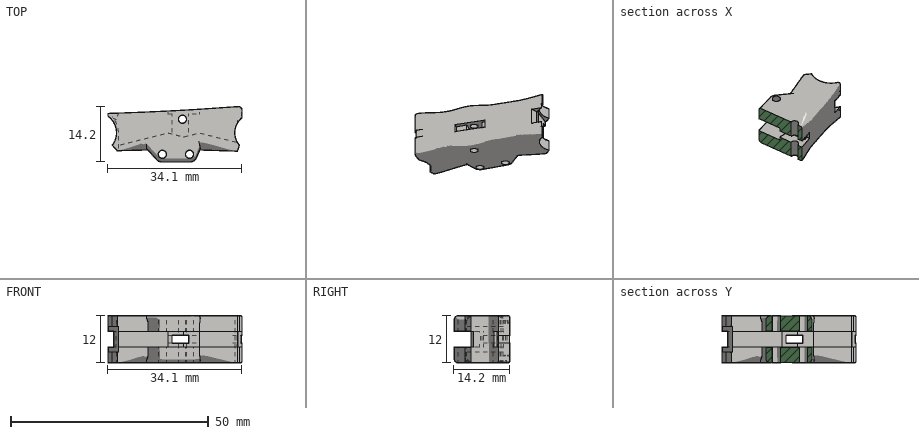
import math

import cadquery as cq

LENGTH = 34.05
WIDTH = 14.15
HEIGHT = 12.0
TOP = HEIGHT / 2

BACK_LEFT_Y = 12.4
BACK_SAG = 0.2
CORNER_RADIUS = 1.0

LEFT_FLANK_START = (2.37, 2.87)
LEFT_FLANK_END = (10.3, 3.07)
RIGHT_FLANK_START = (23.1, 3.07)
RIGHT_FLANK_END = (32.85, 2.75)
LEFT_BEVEL_TOP = (0.0, 5.5)
RIGHT_BEVEL_TOP = (LENGTH, 6.3)

RIM_SMALL = 0.5
RIM_LARGE = 2.0
RIM_VANISHING = 0.02
BACK_RIM = [
    (0.0, RIM_SMALL),
    (7.4, RIM_LARGE),
    (13.3, RIM_LARGE),
    (19.2, RIM_SMALL),
    (26.1, RIM_LARGE),
    (LENGTH - CORNER_RADIUS, RIM_SMALL),
]

END_CENTER_Y = 7.45
LEFT_END_X = 2.15
LEFT_END_RADIUS = 5.2
RIGHT_END_X = 32.2
RIGHT_END_RADIUS = 4.8
RECESS_DEPTH = 0.5
RECESS_RADIUS = 6.0
RECESS_HEIGHT = 6.5

HOLE_DIAMETER = 2.0
BOSS_CORNER_RADIUS = 2.0
BOSS_LEFT_X = 13.8
BOSS_RIGHT_X = 20.7
BOSS_LEFT_LEAN = 48.0
BOSS_RIGHT_LEAN = 68.0
BOSS_BACK_Y = 6.0
BOSS_RIM_RADIUS = 1.0
BACK_HOLE = (18.9, 10.9)

SLOT_HEIGHT = 4.0
FLOOR_LEAN = 14.0
FLOOR_START = (2.65, 4.25)
FLOOR_VALLEY_X = 19.2
FLOOR_PEAK_OFFSET = 4.0

LEFT_NOTCH_CORNER = (2.0, 10.83)
LEFT_NOTCH_LEAN = 24.0
RIGHT_NOTCH_CORNER = (32.75, 10.92)

WINDOW_HEIGHT = 2.0
WINDOW_LEFT = 16.3
WINDOW_WIDTH = 4.2
POCKET_DEPTH = 1.0
GROOVE_SIDE_DEPTH = 0.2
GROOVE_BACK_DEPTH = 0.1

CLEARANCE = 5.0


def centered_prism(sketch, height):
    """Extrude a closed XY outline so that mid height falls on Z = 0.

    Neighboring side faces stay separate, so that each keeps its own edges for rounding.
    """
    return sketch.extrude(height, clean=False).translate((0, 0, -height / 2))


def leaning(point, angle, distance):
    """The point at a distance from another point, in a direction given in degrees from +X."""
    turn = math.radians(angle)
    return (point[0] + distance * math.cos(turn), point[1] + distance * math.sin(turn))


def back_y(x):
    """Y of the back arc: a circle through its two ends, sagging below the chord between them."""
    run = BACK_RIM[-1][0]
    rise = WIDTH - BACK_LEFT_Y
    chord = math.hypot(run, rise)
    radius = (chord**2 / 4 + BACK_SAG**2) / (2 * BACK_SAG)
    reach = radius - BACK_SAG
    center_x = run / 2 - reach * rise / chord
    center_y = BACK_LEFT_Y + rise / 2 + reach * run / chord
    return center_y - math.sqrt(radius**2 - (x - center_x) ** 2)


def body_outline():
    """Outline without the boss, which later fills the gap between the flanks."""
    outline = (
        cq.Workplane("XY")
        .moveTo(0, BACK_LEFT_Y)
        .lineTo(*LEFT_BEVEL_TOP)
        .lineTo(*LEFT_FLANK_START)
        .lineTo(*LEFT_FLANK_END)
        .lineTo(LEFT_FLANK_END[0], BOSS_BACK_Y)
        .lineTo(RIGHT_FLANK_START[0], BOSS_BACK_Y)
        .lineTo(*RIGHT_FLANK_START)
        .lineTo(*RIGHT_FLANK_END)
        .lineTo(*RIGHT_BEVEL_TOP)
        .lineTo(LENGTH, WIDTH - CORNER_RADIUS)
        .radiusArc((LENGTH - CORNER_RADIUS, WIDTH), -CORNER_RADIUS)
    )
    stations = [x for x, _ in reversed(BACK_RIM)]
    for start, end in zip(stations, stations[1:]):
        middle = (start + end) / 2
        outline = outline.threePointArc((middle, back_y(middle)), (end, back_y(end)))
    return outline.close()


def round_rims(body):
    """Round the upper and lower edges with radii that vary smoothly between named points."""
    back = [((x, back_y(x)), radius) for x, radius in BACK_RIM]
    corner_end = ((LENGTH, WIDTH - CORNER_RADIUS), RIM_SMALL)
    side_end = (RIGHT_BEVEL_TOP, RIM_SMALL)
    runs = [
        back + [corner_end, side_end],
        [(LEFT_FLANK_START, RIM_VANISHING), (LEFT_FLANK_END, RIM_LARGE)],
        [(RIGHT_FLANK_START, RIM_LARGE), (RIGHT_FLANK_END, RIM_VANISHING)],
    ]
    solid = body.val()
    builder = cq.occ_impl.shapes.BRepFilletAPI_MakeFillet(solid.wrapped)
    for z in (-TOP, TOP):
        rim = cq.Workplane(solid).faces("<Z" if z < 0 else ">Z")
        for run in runs:
            (first, _), (second, _) = run[:2]
            middle = ((first[0] + second[0]) / 2, (first[1] + second[1]) / 2, z)
            edge = rim.edges(cq.selectors.NearestToPointSelector(middle)).val()
            builder.Add(edge.wrapped)
            contour = builder.Contour(edge.wrapped)
            for (x, y), radius in run:
                vertex = rim.vertices(cq.selectors.NearestToPointSelector((x, y, z))).val()
                builder.SetRadius(radius, contour, vertex.wrapped)
    return cq.Workplane(cq.Shape.cast(builder.Shape()))


def boss():
    """Boss whose leaning sides run back into the body, with evenly rounded rims."""
    left_center = (BOSS_LEFT_X, BOSS_CORNER_RADIUS)
    right_center = (BOSS_RIGHT_X, BOSS_CORNER_RADIUS)
    left_tangent = leaning(left_center, -90 - BOSS_LEFT_LEAN, BOSS_CORNER_RADIUS)
    right_tangent = leaning(right_center, -90 + BOSS_RIGHT_LEAN, BOSS_CORNER_RADIUS)
    left_run = (BOSS_BACK_Y - left_tangent[1]) / math.tan(math.radians(BOSS_LEFT_LEAN))
    right_run = (BOSS_BACK_Y - right_tangent[1]) / math.tan(math.radians(BOSS_RIGHT_LEAN))
    outline = (
        cq.Workplane("XY")
        .moveTo(left_tangent[0] - left_run, BOSS_BACK_Y)
        .lineTo(*left_tangent)
        .radiusArc((BOSS_LEFT_X, 0), -BOSS_CORNER_RADIUS)
        .lineTo(BOSS_RIGHT_X, 0)
        .radiusArc(right_tangent, -BOSS_CORNER_RADIUS)
        .lineTo(right_tangent[0] + right_run, BOSS_BACK_Y)
        .close()
    )
    middle_x = (BOSS_LEFT_X + BOSS_RIGHT_X) / 2
    block = centered_prism(outline, HEIGHT)
    for z in (-TOP, TOP):
        front_edge = cq.selectors.NearestToPointSelector((middle_x, 0, z))
        block = block.edges(front_edge).fillet(BOSS_RIM_RADIUS)
    return block


def concave_end(center_x, radius):
    """Cylinder along Z, turned so that its seam lies outside the part."""
    cylinder = centered_prism(cq.Workplane("XY").circle(radius), 2 * HEIGHT)
    return cylinder.rotate((0, 0, 0), (0, 0, 1), 90).translate((center_x, END_CENTER_Y, 0))


def left_recess():
    """Deeper middle part of the left end: an arc that runs straight on toward the front."""
    wall_x = LEFT_END_X + RECESS_DEPTH
    center_x = wall_x - RECESS_RADIUS
    outline = (
        cq.Workplane("XY")
        .moveTo(center_x, END_CENTER_Y + RECESS_RADIUS)
        .radiusArc((wall_x, END_CENTER_Y), RECESS_RADIUS)
        .lineTo(wall_x, -CLEARANCE)
        .lineTo(center_x, -CLEARANCE)
        .close()
    )
    return centered_prism(outline, RECESS_HEIGHT)


def front_slot():
    """Slot open to the front and both ends, with two outer ramps and a shallow V between its peaks."""
    slope = math.tan(math.radians(FLOOR_LEAN))
    left_peak_x = FLOOR_VALLEY_X - FLOOR_PEAK_OFFSET
    right_peak_x = FLOOR_VALLEY_X + FLOOR_PEAK_OFFSET
    peak_y = FLOOR_START[1] + (left_peak_x - FLOOR_START[0]) * slope
    valley_y = peak_y - FLOOR_PEAK_OFFSET * slope
    end_y = peak_y - (LENGTH - right_peak_x) * slope
    start_y = peak_y - left_peak_x * slope
    outline = cq.Workplane("XY").polyline(
        [
            (0, -CLEARANCE),
            (0, start_y),
            (left_peak_x, peak_y),
            (FLOOR_VALLEY_X, valley_y),
            (right_peak_x, peak_y),
            (LENGTH, end_y),
            (LENGTH, -CLEARANCE),
        ]
    )
    return centered_prism(outline.close(), SLOT_HEIGHT)


def left_notch():
    """Opening through the left tip: a square inner corner turned by the notch lean."""
    along = leaning(LEFT_NOTCH_CORNER, 180 - LEFT_NOTCH_LEAN, CLEARANCE)
    across = leaning(LEFT_NOTCH_CORNER, 90 - LEFT_NOTCH_LEAN, CLEARANCE)
    far = leaning(along, 90 - LEFT_NOTCH_LEAN, CLEARANCE)
    outline = cq.Workplane("XY").polyline([LEFT_NOTCH_CORNER, across, far, along])
    return centered_prism(outline.close(), SLOT_HEIGHT)


def right_notch():
    """Square corner cut into the right concave end, leaning with the slot floor."""
    along = leaning(RIGHT_NOTCH_CORNER, FLOOR_LEAN, CLEARANCE)
    across = leaning(RIGHT_NOTCH_CORNER, FLOOR_LEAN - 90, CLEARANCE / 2)
    outline = cq.Workplane("XY").polyline([RIGHT_NOTCH_CORNER, along, across])
    return centered_prism(outline.close(), SLOT_HEIGHT)


def window():
    block = cq.Workplane("XY").box(WINDOW_WIDTH, 2 * WIDTH, WINDOW_HEIGHT)
    return block.translate((WINDOW_LEFT + WINDOW_WIDTH / 2, WIDTH, 0))


def back_pocket():
    """Shallow pocket in the back face, as long as the distance between the peaks of the slot floor."""
    floor_y = back_y(FLOOR_VALLEY_X) - POCKET_DEPTH
    block = cq.Workplane("XY").box(2 * FLOOR_PEAK_OFFSET, CLEARANCE, WINDOW_HEIGHT)
    return block.translate((FLOOR_VALLEY_X, floor_y + CLEARANCE / 2, 0))


def corner_groove():
    """Shallow groove around the rounded right corner, between the corner and a shifted copy of it."""
    outer = centered_prism(cq.Workplane("XY").rect(2 * CLEARANCE, 2 * CLEARANCE), WINDOW_HEIGHT)
    kept = cq.Workplane("XY").rect(2 * CLEARANCE, 2 * CLEARANCE)
    kept = centered_prism(kept, HEIGHT).edges(">X and >Y").fillet(CORNER_RADIUS)
    kept = kept.translate((-CLEARANCE - GROOVE_SIDE_DEPTH, -CLEARANCE - GROOVE_BACK_DEPTH, 0))
    return outer.cut(kept).translate((LENGTH, WIDTH, 0))


def holes():
    """Two holes at the boss corners and one near the back, through the full height."""
    centers = [(BOSS_LEFT_X, BOSS_CORNER_RADIUS), (BOSS_RIGHT_X, BOSS_CORNER_RADIUS), BACK_HOLE]
    return centered_prism(cq.Workplane("XY").pushPoints(centers).circle(HOLE_DIAMETER / 2), 2 * HEIGHT)


result = round_rims(centered_prism(body_outline(), HEIGHT)).union(boss()).clean()
cutters = [
    concave_end(LEFT_END_X - LEFT_END_RADIUS, LEFT_END_RADIUS),
    concave_end(RIGHT_END_X + RIGHT_END_RADIUS, RIGHT_END_RADIUS),
    left_recess(),
    front_slot(),
    left_notch(),
    right_notch(),
    window(),
    back_pocket(),
    corner_groove(),
    holes(),
]
for cutter in cutters:
    result = result.cut(cutter)
result = result.clean()